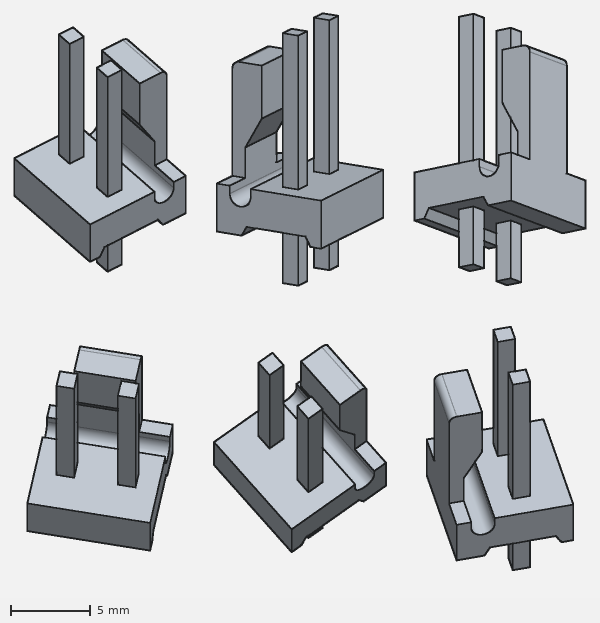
import cadquery as cq
import math

pin_count = 2
pitch = 3.96
pin_side = 1.14
pin_length = 16.51
pin_tail = 3.175

base_width = pin_count * pitch
base_depth = 7.62
base_height = 3.175
base_back = 4.58
base_front = base_back - base_depth

recess_depth = 0.635
front_foot_width = 0.78
back_foot_width = 1.82
recess_slope_angle = 30
recess_slope_run = recess_depth * math.tan(math.radians(recess_slope_angle))

groove_width = 1.53
groove_depth = 1.27
groove_radius = groove_width / 2

tab_width = (pin_count - 1) * pitch
tab_thickness = 0.96
tab_top = 10.77
tab_head_thickness = 2.16
tab_head_bottom = 7.27
tab_slope_angle = 60
tab_corner_radius = 0.5

tab_front = base_back - tab_thickness
tab_head_front = base_back - tab_head_thickness


def extrude_along_row(profile, width):
    """Extrude a YZ profile symmetrically about the middle of the pin row."""
    return profile.close().extrude(width / 2, both=True)


def make_base():
    groove_center_y = tab_front - groove_radius
    groove_front = tab_front - groove_width
    groove_bottom = base_height - groove_depth
    arc_start_z = groove_bottom + groove_radius
    front_foot_edge = base_front + front_foot_width
    back_foot_edge = base_back - back_foot_width
    profile = (
        cq.Workplane("YZ")
        .moveTo(base_front, 0)
        .lineTo(front_foot_edge, 0)
        .lineTo(front_foot_edge + recess_slope_run, recess_depth)
        .lineTo(back_foot_edge - recess_slope_run, recess_depth)
        .lineTo(back_foot_edge, 0)
        .lineTo(base_back, 0)
        .lineTo(base_back, base_height)
        .lineTo(tab_front, base_height)
        .lineTo(tab_front, arc_start_z)
        .threePointArc((groove_center_y, groove_bottom), (groove_front, arc_start_z))
        .lineTo(groove_front, base_height)
        .lineTo(base_front, base_height)
    )
    return extrude_along_row(profile, base_width)


def make_tab():
    slope_run = tab_head_thickness - tab_thickness
    slope_start_z = tab_head_bottom - slope_run * math.tan(math.radians(tab_slope_angle))
    profile = (
        cq.Workplane("YZ")
        .moveTo(base_back, base_height)
        .lineTo(tab_front, base_height)
        .lineTo(tab_front, slope_start_z)
        .lineTo(tab_head_front, tab_head_bottom)
        .lineTo(tab_head_front, tab_top)
        .lineTo(base_back, tab_top)
    )
    tab = extrude_along_row(profile, tab_width)
    return tab.edges("|X and >Z and >Y").fillet(tab_corner_radius)


def make_pins():
    return (
        cq.Workplane("XY", origin=(0, 0, -pin_tail))
        .rarray(pitch, pitch, pin_count, 1)
        .rect(pin_side, pin_side)
        .extrude(pin_length)
    )


result = make_base().union(make_tab()).union(make_pins())